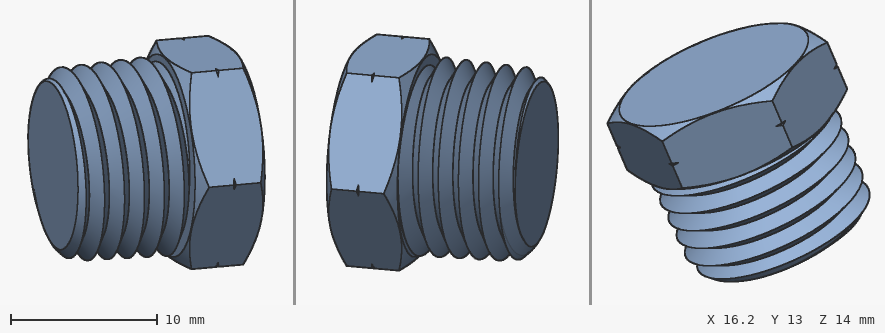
import cadquery as cq
import math


across_corners = 16.17
head_height = 5.0
chamfer_radius = 6.95
chamfer_angle = math.radians(30)
corner_radius = across_corners / 2
chamfer_drop = (corner_radius - chamfer_radius) * math.tan(chamfer_angle)

mark_depth = 0.21
mark_half_width = 0.08

shank_length = 8.0
seven_turn_advance = 9.88
pitch = seven_turn_advance / 7
taper = 1 / 32
crest_radius = 6.87
first_crest = 0.75
thread_depth = pitch * math.sqrt(3) / 2
tip_radius = 5.79
thread_overlap = 0.81
root_fill = 0.01
base_gap = 0.006
turns_below = 6
turns_total = 8


def radius_at(distance):
    """Crest cone radius at a distance below the head underside."""
    return crest_radius - distance * taper


def make_helix(distance, depth):
    """Conical helix at a depth below the crest, rising along Z from -distance."""
    helix = cq.Wire.makeHelix(
        pitch,
        turns_total * pitch,
        radius_at(distance) - depth,
        cq.Vector(0, 0, -distance),
        angle=math.degrees(math.atan(taper)),
    )
    return helix.Edges()[0]


def make_thread_ridge():
    """Helical ridge of triangular section, with its axis along Z."""
    start = first_crest + turns_below * pitch
    half_base = (pitch - base_gap) / 2
    depth = half_base * math.sqrt(3)
    edges = [
        make_helix(start, 0),
        make_helix(start + half_base, depth),
        make_helix(start - half_base, depth),
    ]
    faces = [cq.Face.makeRuledSurface(edges[i], edges[i - 1]) for i in range(3)]
    for end in (0, 1):
        corners = [edge.positionAt(end) for edge in edges]
        faces.append(cq.Face.makeFromWires(cq.Wire.makePolygon(corners, close=True)))
    ridge = cq.Solid.makeSolid(cq.Shell.makeShell(cq.Compound.makeCompound(faces).Faces()))
    return cq.Workplane(ridge)


def revolve_about_z(points):
    """Turned body from an outline of (radius, height) points."""
    return cq.Workplane("XZ").polyline(points).close().revolve(360, (0, 0), (0, 1))


def make_shank():
    core_top = radius_at(-thread_overlap) - thread_depth + root_fill
    core_tip = radius_at(shank_length) - thread_depth + root_fill
    core = revolve_about_z([
        (0, -shank_length), (core_tip, -shank_length), (core_top, thread_overlap), (0, thread_overlap),
    ])
    chamfer_size = corner_radius - tip_radius
    envelope = revolve_about_z([
        (0, -shank_length),
        (tip_radius, -shank_length),
        (corner_radius, -shank_length + chamfer_size),
        (corner_radius, thread_overlap),
        (0, thread_overlap),
    ])
    return core.union(make_thread_ridge().intersect(envelope))


def make_head():
    hexagon = cq.Workplane("XY").polygon(6, across_corners).extrude(head_height)
    middle = head_height / 2
    envelope = revolve_about_z([
        (0, 0),
        (chamfer_radius, 0),
        (corner_radius, chamfer_drop),
        (corner_radius, middle - mark_half_width),
        (corner_radius - mark_depth, middle),
        (corner_radius, middle + mark_half_width),
        (corner_radius, head_height - chamfer_drop),
        (chamfer_radius, head_height),
        (0, head_height),
    ])
    return hexagon.intersect(envelope)


plug = make_head().union(make_shank())
result = plug.rotate((0, 0, 0), (1, 0, 0), -90)